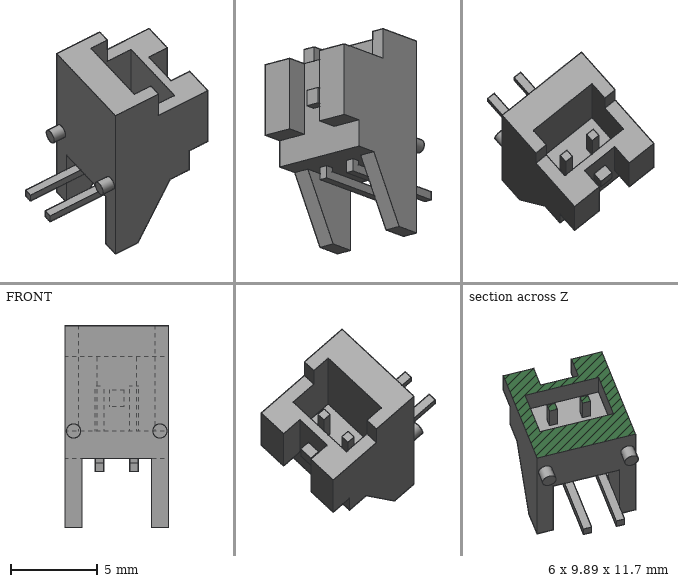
import cadquery as cq

width = 6.0
height = 11.7
depth = 6.5
front_wall_depth = 3.03
shoulder_z = 9.9
rear_step_y = 5.2
rear_step_z = 5.59
base_z = 3.99
leg_top_y = 3.85
leg_foot_y = 1.58
leg_gap = 4.0

cavity_width = 4.43
cavity_front_y = 1.87
cavity_rear_y = 4.69
cavity_floor_z = rear_step_z

notch_width = 2.27
tab_width = 0.84
tab_rear_y = 5.81
tab_bottom_z = 7.02
tab_height = 0.94

peg_diameter = 0.82
peg_length = 0.8
peg_spacing = 5.0
peg_z = rear_step_z

pin_size = 0.5
pin_spacing = 2.0
pin_rear_y = 3.64
pin_bottom_z = 3.24
pin_front_reach = 3.39
pin_top_z = 8.19


def block(x_size, y_min, y_max, z_min, z_max, x_center=0):
    """Box centred on x_center and spanning the given Y and Z limits."""
    box = cq.Workplane("XY").box(x_size, y_max - y_min, z_max - z_min, centered=(True, False, False))
    return box.translate((x_center, y_min, z_min))


def make_housing():
    profile = [
        (0, 0),
        (leg_foot_y, 0),
        (leg_top_y, base_z),
        (rear_step_y, base_z),
        (rear_step_y, rear_step_z),
        (depth, rear_step_z),
        (depth, shoulder_z),
        (front_wall_depth, shoulder_z),
        (front_wall_depth, height),
        (0, height),
    ]
    housing = cq.Workplane("YZ").polyline(profile).close().extrude(width / 2, both=True)
    housing = housing.cut(block(leg_gap, 0, depth, 0, base_z))
    housing = housing.cut(block(notch_width, rear_step_y, depth, rear_step_z, height))
    return housing.cut(block(cavity_width, cavity_front_y, cavity_rear_y, cavity_floor_z, height))


def make_tab():
    return block(tab_width, rear_step_y, tab_rear_y, tab_bottom_z, tab_bottom_z + tab_height)


def make_peg(x):
    return cq.Workplane("XZ").center(x, peg_z).circle(peg_diameter / 2).extrude(peg_length)


def make_pin(x):
    tail = block(pin_size, -pin_front_reach, pin_rear_y, pin_bottom_z, pin_bottom_z + pin_size, x)
    post = block(pin_size, pin_rear_y - pin_size, pin_rear_y, pin_bottom_z, pin_top_z, x)
    return tail.union(post)


result = make_housing().union(make_tab())
for side in (-1, 1):
    result = result.union(make_peg(side * peg_spacing / 2))
    result = result.union(make_pin(side * pin_spacing / 2))